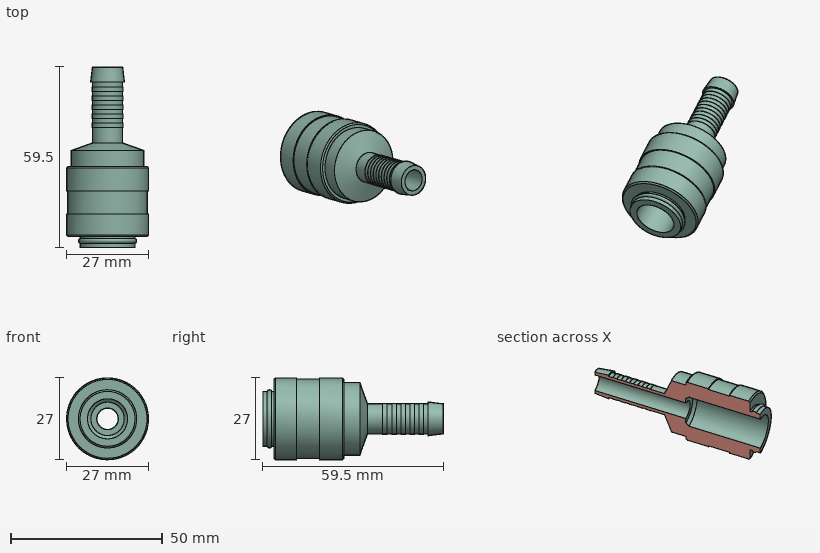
import cadquery as cq


total_length = 59.5
sleeve_diameter = 27.0

nose_diameter = 18.1
nose_length = 3.65
bead_diameter = 19.2
bead_start = 1.45
bead_width = 1.5

sleeve_length = 23.1
front_band_length = 7.5
waist_length = 7.5
waist_diameter = 26.3
sleeve_chamfer = 0.5

body_diameter = 24.0
body_end = 32.0
taper_length = 2.5
stem_diameter = 10.0

rib_count = 5
rib_diameter = 10.2
rib_width = 1.5
rib_pitch = 2 * rib_width
first_rib_start = 39.5
tip_length = 5.0
tip_end_diameter = 10.0
tip_barb_diameter = 11.2

socket_diameter = 13.2
socket_floor_diameter = 11.0
passage_diameter = 7.0

front_band_end = nose_length + front_band_length
waist_end = front_band_end + waist_length
sleeve_end = nose_length + sleeve_length
taper_end = body_end + taper_length
tip_start = total_length - tip_length
socket_floor = sleeve_end
socket_cone_length = (socket_diameter - socket_floor_diameter) / 2


def cylinder(diameter, start, end):
    """Solid cylinder along Y between two stations."""
    sketch = cq.Workplane("XZ", origin=(0, start, 0)).circle(diameter / 2)
    return sketch.extrude(start - end)


def cone(start_diameter, end_diameter, start, end):
    """Solid cone frustum along Y between two stations."""
    profile = (
        cq.Workplane("XY")
        .moveTo(0, start)
        .lineTo(start_diameter / 2, start)
        .lineTo(end_diameter / 2, end)
        .lineTo(0, end)
        .close()
    )
    return profile.revolve(360, (0, 0, 0), (0, 1, 0))


def make_nose():
    """Nose of the socket, with its bead as an arc on the outside."""
    nose_radius = nose_diameter / 2
    bead_end = bead_start + bead_width
    bead_crest = (bead_diameter / 2, bead_start + bead_width / 2)
    profile = (
        cq.Workplane("XY")
        .lineTo(nose_radius, 0)
        .lineTo(nose_radius, bead_start)
        .threePointArc(bead_crest, (nose_radius, bead_end))
        .lineTo(nose_radius, nose_length)
        .lineTo(0, nose_length)
        .close()
    )
    return profile.revolve(360, (0, 0, 0), (0, 1, 0))


def make_sleeve():
    """Grip sleeve: two bands, chamfered at the outer ends, around a waist."""
    front_band = cylinder(sleeve_diameter, nose_length, front_band_end)
    front_band = front_band.faces("<Y").edges().chamfer(sleeve_chamfer)
    waist = cylinder(waist_diameter, front_band_end, waist_end)
    rear_band = cylinder(sleeve_diameter, waist_end, sleeve_end)
    rear_band = rear_band.faces(">Y").edges().chamfer(sleeve_chamfer)
    return front_band.union(waist).union(rear_band)


def make_body():
    """Plain body and the taper that leads to the stem."""
    barrel = cylinder(body_diameter, sleeve_end, body_end)
    taper = cone(body_diameter, stem_diameter, body_end, taper_end)
    return barrel.union(taper)


def make_stem():
    """Hose stem with evenly spaced ribs and a tapered barb at the tip."""
    stem = cylinder(stem_diameter, taper_end, tip_start)
    for index in range(rib_count):
        rib_start = first_rib_start + index * rib_pitch
        stem = stem.union(cylinder(rib_diameter, rib_start, rib_start + rib_width))
    tip = cone(tip_barb_diameter, tip_end_diameter, tip_start, total_length)
    return stem.union(tip)


def make_bore():
    """Socket bore ending in a cone and flat floor, with a passage through the stem."""
    cone_start = socket_floor - socket_cone_length
    socket = cylinder(socket_diameter, 0, cone_start)
    socket_cone = cone(socket_diameter, socket_floor_diameter, cone_start, socket_floor)
    passage = cylinder(passage_diameter, 0, total_length)
    return socket.union(socket_cone).union(passage)


result = make_nose().union(make_sleeve()).union(make_body()).union(make_stem()).cut(make_bore())